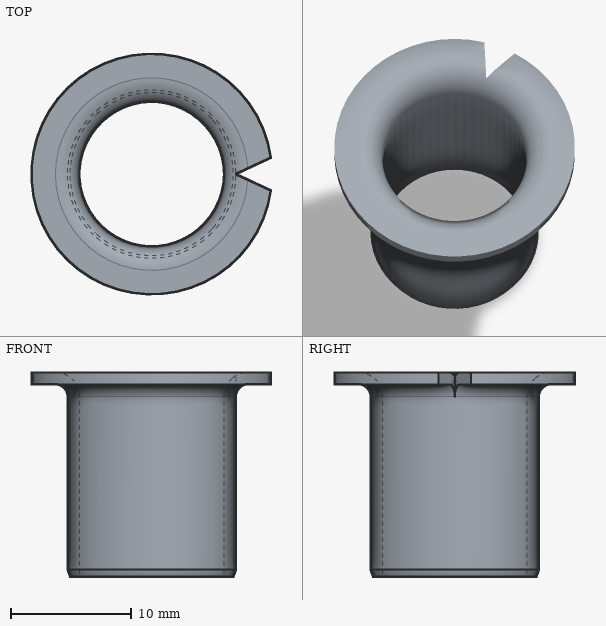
import cadquery as cq
import math

height = 17.0
bore_radius = 6.0
wall = 1.0
flange_radius = 10.0
mouth_radius = 2.0

chamfer_height = 0.6
chamfer_angle = 20.0

notch_angle = 50.0

sleeve_radius = bore_radius + wall
notch_tip_x = sleeve_radius
neck_radius = mouth_radius - wall
bend_center_r = bore_radius + mouth_radius
bend_center_z = height - mouth_radius
chamfer_width = chamfer_height * math.tan(math.radians(chamfer_angle))


def bend_point(radius):
    """Middle point of the quarter bend between sleeve and flange."""
    offset = radius * math.sqrt(0.5)
    return (bend_center_r - offset, bend_center_z + offset)


def make_bushing():
    """Revolved sleeve of constant wall that bends outward into the flange."""
    return (
        cq.Workplane("XZ")
        .moveTo(bore_radius, 0)
        .lineTo(sleeve_radius - chamfer_width, 0)
        .lineTo(sleeve_radius, chamfer_height)
        .lineTo(sleeve_radius, bend_center_z)
        .threePointArc(bend_point(neck_radius), (bend_center_r, height - wall))
        .lineTo(flange_radius, height - wall)
        .lineTo(flange_radius, height)
        .lineTo(bend_center_r, height)
        .threePointArc(bend_point(mouth_radius), (bore_radius, bend_center_z))
        .close()
        .revolve(360, (0, 0, 0), (0, 1, 0))
    )


def make_notch():
    """Triangular prism through the bend and flange, opening along +X from its tip."""
    length = flange_radius
    half_width = length * math.tan(math.radians(notch_angle / 2))
    return (
        cq.Workplane("XY", origin=(notch_tip_x, 0, bend_center_z))
        .lineTo(length, half_width)
        .lineTo(length, -half_width)
        .close()
        .extrude(mouth_radius)
    )


result = make_bushing().cut(make_notch())